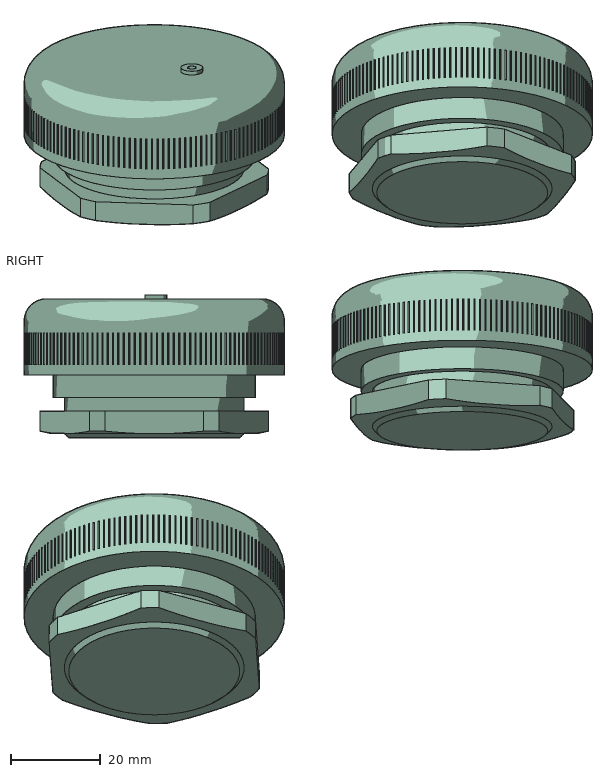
import cadquery as cq
import math

nut_bottom = 1.0
nut_top = 6.0
neck_top = 9.0
cap_bottom = 14.0
groove_bottom = 16.35
groove_top = 23.4
crown_height = 31.0
overall_height = 31.85

cap_radius = 29.0
collar_radius = 22.5
plug_radius = 20.0
crown_rounding = 5.0

nut_side_count = 6
nut_across_flats = 46.0
nut_corner_radius = 25.45
nut_chamfer_inner_radius = 23.2
nut_chamfer_height = 0.5

groove_count = 146
groove_width = 0.3
groove_angle = 60.0

ring_x = 10.05
ring_y = 0.35
ring_radius = 2.45
ring_hole_radius = 0.9


def cylinder(radius, bottom, top):
    return cq.Workplane("XY").workplane(offset=bottom).circle(radius).extrude(top - bottom)


def make_cap():
    """Round cap with a rounded crown edge and grip grooves around its side."""
    cap = cylinder(cap_radius, cap_bottom, crown_height)
    cap = cap.faces(">Z").edges().fillet(crown_rounding)
    return cap.cut(make_grooves())


def make_grooves():
    """Ring of V cutters; the first groove lies on the -Y side."""
    half_width = groove_width / 2
    half_angle = math.radians(groove_angle / 2)
    depth = half_width / math.tan(half_angle)
    half_mouth = 2 * half_width
    mouth_radius = cap_radius + depth
    cutter = (
        cq.Workplane("XY")
        .workplane(offset=groove_bottom)
        .moveTo(0, depth - cap_radius)
        .lineTo(half_mouth, -mouth_radius)
        .lineTo(-half_mouth, -mouth_radius)
        .close()
        .extrude(groove_top - groove_bottom)
        .val()
    )
    cutters = []
    for index in range(groove_count):
        angle = 360 * index / groove_count
        cutters.append(cutter.rotate((0, 0, 0), (0, 0, 1), angle))
    return cq.Workplane("XY").newObject([cq.Compound.makeCompound(cutters)])


def make_nut():
    """Hexagon with flats facing +X and -X, trimmed by a round blank chamfered underneath."""
    half_side_angle = 180 / nut_side_count
    across_corners = nut_across_flats / math.cos(math.radians(half_side_angle))
    hexagon = (
        cq.Workplane("XY")
        .workplane(offset=nut_bottom)
        .transformed(rotate=(0, 0, half_side_angle))
        .polygon(nut_side_count, across_corners)
        .extrude(nut_top - nut_bottom)
    )
    blank = (
        cq.Workplane("XZ")
        .moveTo(0, nut_bottom)
        .lineTo(nut_chamfer_inner_radius, nut_bottom)
        .lineTo(nut_corner_radius, nut_bottom + nut_chamfer_height)
        .lineTo(nut_corner_radius, nut_top)
        .lineTo(0, nut_top)
        .close()
        .revolve(360, (0, 0, 0), (0, 1, 0))
    )
    return hexagon.intersect(blank)


def make_plug():
    """Plain round plug through the nut, its lower end chamfered up to the nut."""
    plug = cylinder(plug_radius, 0, neck_top)
    return plug.faces("<Z").edges().chamfer(nut_bottom)


def make_ring():
    """Flat ring standing on the crown."""
    return (
        cq.Workplane("XY")
        .workplane(offset=crown_height)
        .center(ring_x, ring_y)
        .circle(ring_radius)
        .circle(ring_hole_radius)
        .extrude(overall_height - crown_height)
    )


collar = cylinder(collar_radius, neck_top, cap_bottom)

result = make_plug().union(make_nut()).union(collar).union(make_cap()).union(make_ring())